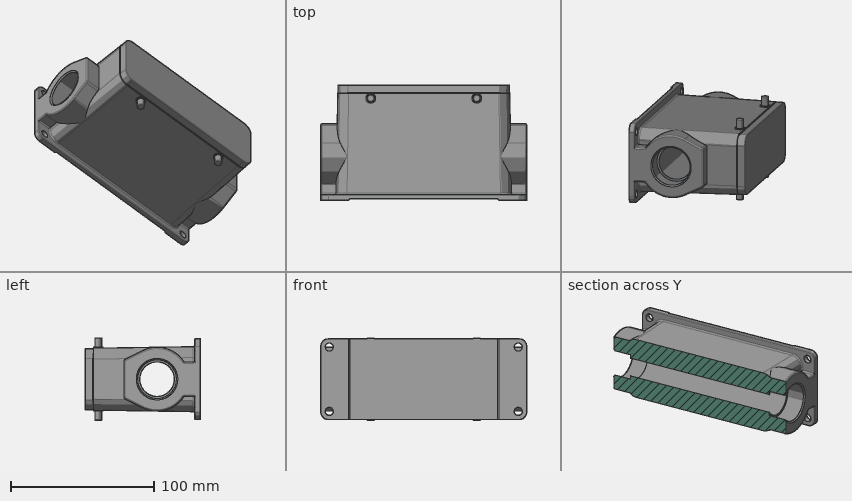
import cadquery as cq
import math

length = 144.0
depth = 80.48
pin_tip_span = 57.62

plate_height = 56.5
plate_thickness = 4.0
plate_corner_radius = 5.3
plate_edge_round = 0.5
recess_half_width = 52.5
recess_depth = 1.0
mount_hole_diameter = 5.6
mount_hole_x = 66.0
mount_hole_z = 22.4

body_half_length = 61.3
body_half_height = 22.8
body_end = 75.4
body_draft = 0.9
body_corner_radius = 7.7
body_foot_radius = 1.0

rim_half_length = 59.9
rim_half_height = 21.4
rim_corner_radius = 6.9
rim_edge_round = 0.4
shoulder_depth = 0.8
shoulder_slope = 25.0

boss_y = 30.25
boss_radius = 22.36
boss_flat_y = 53.5
boss_flat_half_height = 13.5
boss_corner_round = 2.0
boss_edge_round = 1.0
neck_half_height = 12.1
neck_corner_round = 1.0
neck_foot_radius = 1.0
entry_diameter = 27.0
entry_chamfer = 1.0
entry_depth = 14.0
bore_diameter = 24.0

pin_x = 37.0
pin_y = 71.25
pin_radius = 2.5
pin_tip_round = 0.5
collar_radius = 3.4
collar_half_span = 22.4

pick_margin = 0.1

half_length = length / 2


def section_plane(y):
    """XZ workplane at the given Y whose extrusion runs toward +Y."""
    return cq.Workplane("XZ", origin=(0, y, 0)).transformed(rotate=(180, 0, 0))


def make_plate():
    """Flange plate with four screw holes and a shallow bevelled recess across its back."""
    plate = (
        section_plane(0)
        .rect(length, plate_height)
        .extrude(plate_thickness)
        .edges("|Y")
        .fillet(plate_corner_radius)
        .faces(">Y")
        .edges()
        .fillet(plate_edge_round)
    )
    holes = (
        section_plane(0)
        .rect(2 * mount_hole_x, 2 * mount_hole_z, forConstruction=True)
        .vertices()
        .circle(mount_hole_diameter / 2)
        .extrude(plate_thickness)
    )
    recess_floor_half = recess_half_width - recess_depth
    recess = (
        cq.Workplane("XY")
        .polyline(
            [
                (-recess_half_width, 0),
                (recess_half_width, 0),
                (recess_floor_half, recess_depth),
                (-recess_floor_half, recess_depth),
            ]
        )
        .close()
        .extrude(plate_height / 2, both=True)
    )
    return plate.cut(holes).cut(recess)


def make_body():
    """Drafted box from the plate to the rim, ending in a steeper tapered shoulder."""
    straight_depth = body_end - shoulder_depth - plate_thickness
    return (
        section_plane(plate_thickness)
        .rect(2 * body_half_length, 2 * body_half_height)
        .extrude(straight_depth, taper=body_draft)
        .edges("not(|X or |Z)")
        .fillet(body_corner_radius)
        .faces(">Y")
        .wires()
        .toPending()
        .workplane()
        .extrude(shoulder_depth, taper=shoulder_slope)
    )


def make_rim():
    """Straight rim beyond the shoulder, rooted inside the body."""
    start = body_end / 2
    return (
        section_plane(start)
        .rect(2 * rim_half_length, 2 * rim_half_height)
        .extrude(depth - start)
        .edges("|Y")
        .fillet(rim_corner_radius)
        .faces(">Y")
        .edges()
        .fillet(rim_edge_round)
    )


def make_boss():
    """Boss on the +X end: a circle joined to a flat by tangents, with a neck down to the plate."""
    flat_offset = boss_flat_y - boss_y
    corner_distance = math.hypot(flat_offset, boss_flat_half_height)
    tangent_angle = math.atan2(boss_flat_half_height, flat_offset) + math.acos(boss_radius / corner_distance)
    tangent_y = boss_y + boss_radius * math.cos(tangent_angle)
    tangent_z = boss_radius * math.sin(tangent_angle)
    neck_y = boss_y - math.sqrt(boss_radius**2 - neck_half_height**2)
    foot_z = neck_half_height + neck_foot_radius
    foot_y = plate_thickness + neck_foot_radius
    foot_middle = neck_foot_radius * (1 - math.sqrt(0.5))
    embedded_y = plate_thickness / 2

    boss = (
        cq.Workplane("YZ")
        .moveTo(embedded_y, foot_z)
        .lineTo(plate_thickness, foot_z)
        .threePointArc(
            (plate_thickness + foot_middle, neck_half_height + foot_middle), (foot_y, neck_half_height)
        )
        .lineTo(neck_y, neck_half_height)
        .threePointArc((boss_y, boss_radius), (tangent_y, tangent_z))
        .lineTo(boss_flat_y, boss_flat_half_height)
        .lineTo(boss_flat_y, -boss_flat_half_height)
        .lineTo(tangent_y, -tangent_z)
        .threePointArc((boss_y, -boss_radius), (neck_y, -neck_half_height))
        .lineTo(foot_y, -neck_half_height)
        .threePointArc(
            (plate_thickness + foot_middle, -neck_half_height - foot_middle), (plate_thickness, -foot_z)
        )
        .lineTo(embedded_y, -foot_z)
        .close()
        .extrude(half_length)
    )
    boss = boss.edges("|X and >Y").fillet(boss_corner_round)
    neck_corners = cq.selectors.BoxSelector(
        (0, neck_y - pick_margin, -boss_radius), (half_length, neck_y + pick_margin, boss_radius)
    )
    boss = boss.edges("|X").edges(neck_corners).fillet(neck_corner_round)
    return boss.faces(">X").edges("not(|Z and <Y)").fillet(boss_edge_round)


def make_entry_bore():
    """Stepped, chamfered bore entering from the +X end."""
    entry_radius = entry_diameter / 2
    bore_radius = bore_diameter / 2
    shoulder_x = half_length - entry_depth
    return (
        cq.Workplane("XY", origin=(0, boss_y, 0))
        .moveTo(0, 0)
        .lineTo(half_length, 0)
        .lineTo(half_length, entry_radius + entry_chamfer)
        .lineTo(half_length - entry_chamfer, entry_radius)
        .lineTo(shoulder_x, entry_radius)
        .lineTo(shoulder_x, bore_radius)
        .lineTo(0, bore_radius)
        .close()
        .revolve(360, (0, 0, 0), (1, 0, 0))
    )


def make_pin():
    """Locking pin with collar on the +X, +Z side, rooted inside the body."""
    root_z = rim_half_height / 2
    root = cq.Workplane("XY", origin=(pin_x, pin_y, root_z))
    pin = root.circle(pin_radius).extrude(pin_tip_span / 2 - root_z)
    pin = pin.faces(">Z").edges().fillet(pin_tip_round)
    collar = root.circle(collar_radius).extrude(collar_half_span - root_z)
    return pin.union(collar)


def both_ends(shape):
    """Join a +X feature with its mirror image on the -X end."""
    return shape.union(shape.mirror("YZ"))


def round_body_foot(shape):
    """Fillet the edges where the body meets the front face of the plate."""
    foot_edges = cq.selectors.BoxSelector(
        (-body_half_length - pick_margin, plate_thickness - pick_margin, -body_half_height - pick_margin),
        (body_half_length + pick_margin, plate_thickness + pick_margin, body_half_height + pick_margin),
        boundingbox=True,
    )
    return shape.edges(foot_edges).fillet(body_foot_radius)


housing = round_body_foot(make_plate().union(make_body()))
housing = housing.union(make_rim()).union(both_ends(make_boss())).cut(both_ends(make_entry_bore()))
pins = both_ends(make_pin())
result = housing.union(pins).union(pins.mirror("XY"))